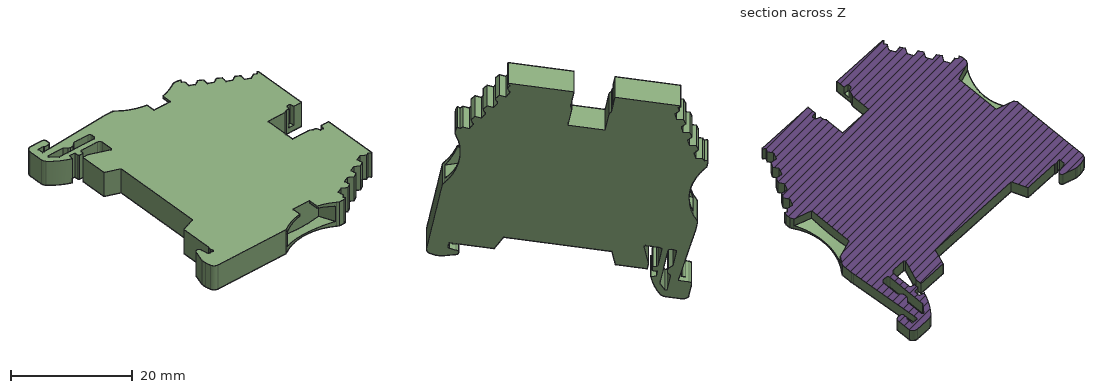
import cadquery as cq
import math

length = 44.2
height = 42.5
thickness = 5.0
axis_x = 23.2

slot_half_width_top = 3.4
slot_half_width_bottom = 3.1
slot_bottom_y = 35.0
lead_in_top_y = 39.25
lead_in_bottom_y = 38.65

keyway_depth = 0.85
keyway_top_y = 40.85
keyway_bottom_y = 39.75
keyway_top_taper = 0.15
keyway_bottom_taper = 0.35
keyway_floor_z = 1.1

tooth_count = 4
tooth_pitch = 3.1
tooth_slope = math.radians(60)
first_tooth = [(8.9, 41.4), (9.45, 40.5), (8.97, 39.43), (7.85, 39.6)]
shoulder_top = [(8.9, height), (8.75, 42.35), (9.2, 42.0)]
shoulder_end = [(2.87, 31.1), (2.4, 31.35)]

flank_x = 2 * axis_x - length
flank_top_y = 30.85
flank_edge_top_y = 29.9
flank_edge_bottom_y = 18.3
grip_mouth_x = 2.48
grip_top_y = 29.4
grip_bottom_y = 18.8
grip_deepest_x = 4.0
grip_mid_y = (grip_top_y + grip_bottom_y) / 2

hollow_back_x = 5.65
hollow_back_y = (19.9, 28.3)
hollow_floor_end_skin = 1.05
hollow_ceiling_end_skin = 0.95
hollow_mid_skin = 0.35
window_y = (22.75, 26.3)

recess_y = 8.4
foot_y = 5.6
recess_half_width_top = 9.0
recess_half_width_bottom = 10.08

left_foot_x = 7.8
rail_groove_x = 40.8
sole_rib_y = 5.5
claw_bottom_y = 2.48

arm_x = 1.5
arm_top_y = 17.4
arm_bend_y = 15.35
hook_height = 4.0
hook_gap_floor_y = 1.45
hook_gap_right_x = 2.48
hook_gap_left_x = 1.35
hook_gap_step_x = 1.55
hook_gap_step_y = 2.65
web_thickness = 1.1
web_overlap = 0.45
latch_tip_x = 7.0
arm_inner_x = 6.2
relief_top_y = 10.7
clip_slot_left_x = 3.75
clip_slot_right_x = 5.15
clip_slot_top_y = 10.6


def mirrored(points):
    """Reflect points across the housing axis."""
    return [(2 * axis_x - x, y) for x, y in points]


def left_shoulder():
    """Serrated edge from the top face down to the left flank."""
    points = list(shoulder_top)
    for i in range(tooth_count):
        dx = -i * tooth_pitch * math.cos(tooth_slope)
        dy = -i * tooth_pitch * math.sin(tooth_slope)
        points += [(x + dx, y + dy) for x, y in first_tooth]
    return points + shoulder_end + [(flank_x, flank_top_y)]


def slot_left_wall():
    """Left wall of the top slot, from its floor up to the top face."""
    return [
        (axis_x - slot_half_width_bottom, slot_bottom_y),
        (axis_x - slot_half_width_bottom, lead_in_bottom_y),
        (axis_x - slot_half_width_top, lead_in_top_y),
        (axis_x - slot_half_width_top, height),
    ]


def polygon_prism(points, bottom, top):
    """Straight prism over a closed outline between two heights."""
    return cq.Workplane("XY").workplane(offset=bottom).polyline(points).close().extrude(top - bottom)


def lines_to(outline, points):
    """Continue an outline with straight edges through the points."""
    for point in points:
        outline = outline.lineTo(*point)
    return outline


def add_left_flank(outline):
    """Serrated shoulder, finger grip and outer face of the spring arm, going down."""
    outline = lines_to(outline, left_shoulder()[1:])
    outline = lines_to(outline, [(flank_x, flank_edge_top_y), (grip_mouth_x, grip_top_y)])
    outline = outline.threePointArc((grip_deepest_x, grip_mid_y), (grip_mouth_x, grip_bottom_y))
    arm_face = [
        (1.75, 17.85),
        (arm_x, arm_top_y),
        (arm_x, arm_bend_y),
        (1.55, arm_bend_y - 0.35),
        (hook_gap_right_x, hook_gap_floor_y + 0.45),
    ]
    return lines_to(outline, arm_face)


def add_hook(outline):
    """Gap behind the hook, the rounded hook itself and the curved sole to the latch."""
    gap = [
        (hook_gap_right_x, hook_gap_floor_y),
        (hook_gap_left_x, hook_gap_floor_y),
        (hook_gap_left_x, hook_gap_step_y),
        (hook_gap_step_x, hook_gap_step_y),
        (hook_gap_step_x, 3.55),
    ]
    outline = lines_to(outline, gap)
    outline = outline.threePointArc((1.4, 3.85), (1.1, hook_height)).lineTo(0.55, hook_height)
    outline = outline.threePointArc((0.15, 3.8), (0, 3.45)).lineTo(0, 0.8)
    outline = outline.threePointArc((0.3, 0.3), (1.0, 0)).lineTo(3.9, 0)
    outline = outline.threePointArc((4.35, 0.15), (4.7, 0.35))
    return outline.threePointArc((5.9, 1.9), (6.95, 4.05))


def add_latch(outline):
    """Rail notch and catch on the inner side of the spring arm, up to the relief."""
    latch = [
        (6.0, 4.3),
        (6.05, 5.35),
        (6.85, 5.4),
        (latch_tip_x, 5.55),
        (latch_tip_x, 6.35),
        (6.35, 6.45),
        (arm_inner_x, 6.65),
        (arm_inner_x, 10.15),
    ]
    outline = lines_to(outline, latch)
    return outline.threePointArc((6.35, 10.55), (6.75, relief_top_y))


def add_rail_recess(outline):
    """Slanted relief wall, left foot, rail recess and sole of the right foot."""
    recess_left = [
        (axis_x - recess_half_width_bottom, foot_y),
        (axis_x - recess_half_width_top, recess_y),
    ]
    left_foot = [
        (9.0, relief_top_y),
        (9.2, 10.45),
        (left_foot_x, 6.75),
        (left_foot_x, foot_y),
    ]
    right_sole = [
        (39.55, foot_y),
        (39.8, sole_rib_y),
        (40.2, sole_rib_y),
        (40.35, foot_y),
        (rail_groove_x, foot_y),
    ]
    return lines_to(outline, left_foot + recess_left + mirrored(recess_left[::-1]) + right_sole)


def add_right_claw(outline):
    """Fixed claw that grips under the rail, with a rounded outer heel."""
    outline = lines_to(outline, [(rail_groove_x, 4.6), (40.55, 4.4), (39.43, 4.2)])
    outline = outline.threePointArc((38.85, 3.62), (39.1, 3.23))
    outline = lines_to(outline, [(41.35, 2.5), (41.7, claw_bottom_y), (42.48, claw_bottom_y), (43.45, 2.7)])
    return outline.threePointArc((44.0, 3.05), (length, 3.62))


def add_right_flank(outline):
    """Right finger grip and serrated shoulder, going up."""
    grip_start, grip_middle, grip_end, edge_top = mirrored(
        [
            (grip_mouth_x, grip_bottom_y),
            (grip_deepest_x, grip_mid_y),
            (grip_mouth_x, grip_top_y),
            (flank_x, flank_edge_top_y),
        ]
    )
    outline = lines_to(outline, [(length, flank_edge_bottom_y), grip_start])
    outline = outline.threePointArc(grip_middle, grip_end)
    return lines_to(outline, [edge_top] + mirrored(left_shoulder()[::-1]))


def housing():
    """Full-thickness plate with both feet, still without its hollows."""
    outline = cq.Workplane("XY").moveTo(*shoulder_top[0])
    outline = add_left_flank(outline)
    outline = add_hook(outline)
    outline = add_latch(outline)
    outline = add_rail_recess(outline)
    outline = add_right_claw(outline)
    outline = add_right_flank(outline)
    outline = lines_to(outline, mirrored(slot_left_wall()[::-1]) + slot_left_wall())
    return outline.close().extrude(thickness)


def clip_slot():
    """Through slot that frees the spring arm, with a bump on its left wall."""
    left_wall = [
        (clip_slot_left_x, 4.8),
        (4.35, 5.35),
        (4.45, 5.8),
        (4.4, 6.35),
        (clip_slot_left_x, 7.1),
        (clip_slot_left_x, 10.1),
    ]
    right_wall = [(clip_slot_right_x, 2.8), (4.05, 1.45)]
    slot = lines_to(cq.Workplane("XY").moveTo(clip_slot_left_x, 1.72), left_wall)
    slot = slot.threePointArc((3.9, 10.48), (4.25, clip_slot_top_y)).lineTo(4.7, clip_slot_top_y)
    slot = slot.threePointArc((5.05, 10.48), (clip_slot_right_x, 10.1))
    slot = lines_to(slot, right_wall)
    return slot.threePointArc((3.85, 1.5), (clip_slot_left_x, 1.72)).close().extrude(thickness)


def hook_web():
    """Floor that closes the lower end of the gap behind the hook."""
    corners = [
        (hook_gap_left_x - web_overlap, hook_height),
        (hook_gap_left_x - web_overlap, hook_gap_floor_y - web_overlap),
        (hook_gap_right_x + web_overlap, hook_gap_floor_y - web_overlap),
        (hook_gap_right_x + web_overlap, hook_height),
    ]
    return polygon_prism(corners, 0, web_thickness)


def left_keyway():
    """Blind vertical groove in the left wall of the top slot."""
    mouth_x = axis_x - slot_half_width_top
    back_x = mouth_x - keyway_depth
    profile = [
        (mouth_x, keyway_top_y),
        (back_x, keyway_top_y - keyway_top_taper),
        (back_x, keyway_bottom_y + keyway_bottom_taper),
        (mouth_x, keyway_bottom_y),
    ]
    return polygon_prism(profile, keyway_floor_z, thickness)


def left_hollow():
    """Pocket behind the left grip with bowed floor and ceiling, plus its window."""
    plan = [
        (flank_x, grip_bottom_y),
        (hollow_back_x, hollow_back_y[0]),
        (hollow_back_x, hollow_back_y[1]),
        (flank_x, grip_top_y),
    ]
    section = (
        cq.Workplane("YZ")
        .moveTo(grip_bottom_y, hollow_floor_end_skin)
        .threePointArc((grip_mid_y, hollow_mid_skin), (grip_top_y, hollow_floor_end_skin))
        .lineTo(grip_top_y, thickness - hollow_ceiling_end_skin)
        .threePointArc(
            (grip_mid_y, thickness - hollow_mid_skin),
            (grip_bottom_y, thickness - hollow_ceiling_end_skin),
        )
        .close()
        .extrude(hollow_back_x)
    )
    window_plan = [
        (flank_x, window_y[0]),
        (hollow_back_x, window_y[0]),
        (hollow_back_x, window_y[1]),
        (flank_x, window_y[1]),
    ]
    window = polygon_prism(window_plan, thickness / 2, thickness)
    return polygon_prism(plan, 0, thickness).intersect(section).union(window)


result = housing().union(hook_web()).cut(clip_slot())
housing_mid_plane = (axis_x, 0, 0)
for cutter in (left_keyway(), left_hollow()):
    result = result.cut(cutter).cut(cutter.mirror("YZ", housing_mid_plane))